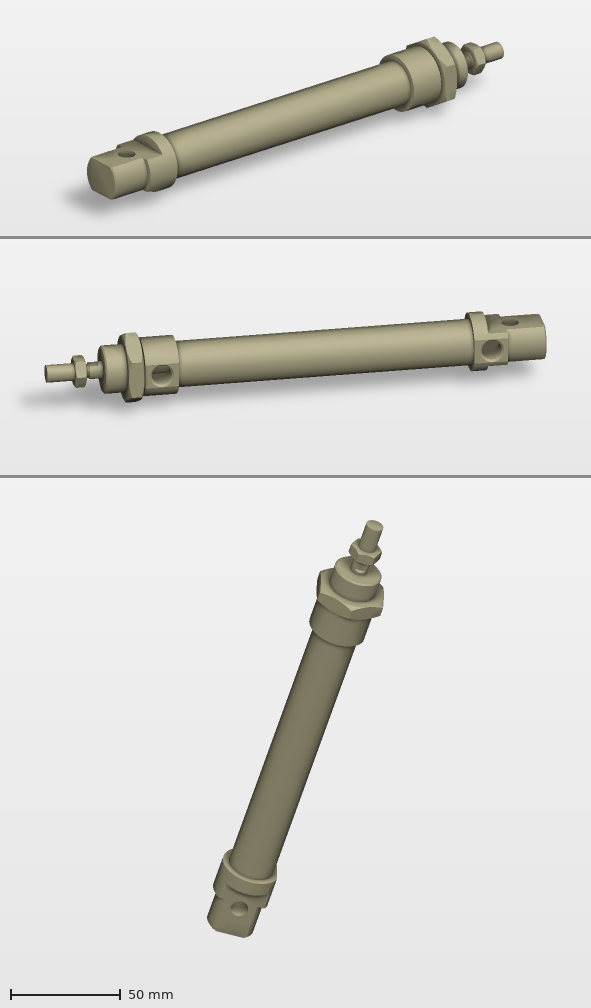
import cadquery as cq
import math

LENGTH = 230.0

COLLAR_DIA = 27.0
TUBE_DIA = 21.2
THREAD_DIA = 22.0
RELIEF_DIA = 21.2
EDGE_CHAMFER = 0.7

REAR_COLLAR_START = 18.2
REAR_COLLAR_END = 33.8
FRONT_COLLAR_START = 170.7
FRONT_COLLAR_END = 186.3
HOUSING_END = 204.2

EYE_THICKNESS = 16.0
EYE_FLAT_LENGTH = 27.1
PIN_HOLE_DIA = 8.0
PIN_HOLE_Y = 15.0

PORT_FLAT_X = 12.2
PORT_DIA = 9.2
PORT_CHAMFER = 1.0
PORT_DEPTH = 9.2
REAR_PORT_Y = 25.5
FRONT_PORT_Y = (FRONT_COLLAR_START + FRONT_COLLAR_END) / 2

ROD_DIA = 8.0
ROD_START = FRONT_COLLAR_START
WRENCH_FLAT_START = 206.5
WRENCH_FLAT_END = 210.5
WRENCH_FLAT_SPAN = 6.2
NECK_DIA = 6.5
NECK_END = 211.4
ROD_CHAMFER = 0.7

MOUNT_NUT_START = 187.2
MOUNT_NUT_WIDTH = 7.1
MOUNT_NUT_FLATS = 30.0
ROD_NUT_START = 212.3
ROD_NUT_WIDTH = 5.0
ROD_NUT_FLATS = 12.9
NUT_CHAMFER_ANGLE = 30.0


def rod_shape(diameter, start, end):
    """Cylinder on the Y axis between two stations."""
    plane = cq.Plane(origin=(0, start, 0), xDir=(1, 0, 0), normal=(0, 1, 0))
    return cq.Workplane(plane).circle(diameter / 2).extrude(end - start)


def housing_blank():
    """Tube, collars, eye and mounting thread as turned before milling and drilling."""
    eye = rod_shape(THREAD_DIA, 0, REAR_COLLAR_START).faces("<Y").chamfer(EDGE_CHAMFER)
    rear_collar = rod_shape(COLLAR_DIA, REAR_COLLAR_START, REAR_COLLAR_END)
    tube = rod_shape(TUBE_DIA, REAR_COLLAR_END, FRONT_COLLAR_START)
    front_collar = rod_shape(COLLAR_DIA, FRONT_COLLAR_START, FRONT_COLLAR_END)
    relief = rod_shape(RELIEF_DIA, FRONT_COLLAR_END, MOUNT_NUT_START)
    thread = rod_shape(THREAD_DIA, MOUNT_NUT_START, HOUSING_END).faces(">Y").chamfer(EDGE_CHAMFER)
    return eye.union(rear_collar).union(tube).union(front_collar).union(relief).union(thread)


def eye_flat_cutter():
    """Block above the eye; its mirror image lies below, leaving a flat tongue."""
    offset = (EYE_THICKNESS + COLLAR_DIA) / 2
    block = cq.Workplane("XY").box(2 * COLLAR_DIA, EYE_FLAT_LENGTH, COLLAR_DIA)
    return block.translate((0, EYE_FLAT_LENGTH / 2, offset))


def cut_port(body, collar_start, collar_end, port_y):
    """Mill the -X flat across a collar and drill its countersunk blind air port."""
    collar_length = collar_end - collar_start
    flat = cq.Workplane("XY").box(COLLAR_DIA, collar_length, COLLAR_DIA).translate(
        (-PORT_FLAT_X - COLLAR_DIA / 2, (collar_start + collar_end) / 2, 0)
    )
    port_plane = cq.Plane(origin=(-PORT_FLAT_X, port_y, 0), xDir=(0, 1, 0), normal=(1, 0, 0))
    port = cq.Workplane(port_plane).circle(PORT_DIA / 2).extrude(PORT_DEPTH)
    mouth_radius = PORT_DIA / 2 + PORT_CHAMFER
    countersink = cq.Workplane(port_plane).circle(mouth_radius).extrude(PORT_CHAMFER, taper=45)
    return body.cut(flat).cut(port).cut(countersink)


def make_housing():
    flat_cutter = eye_flat_cutter()
    body = housing_blank().cut(flat_cutter).cut(flat_cutter.mirror("XY"))
    pin_hole = (
        cq.Workplane("XY")
        .center(0, PIN_HOLE_Y)
        .circle(PIN_HOLE_DIA / 2)
        .extrude(EYE_THICKNESS, both=True)
    )
    body = body.cut(pin_hole)
    body = cut_port(body, REAR_COLLAR_START, REAR_COLLAR_END, REAR_PORT_Y)
    body = cut_port(body, FRONT_COLLAR_START, FRONT_COLLAR_END, FRONT_PORT_Y)
    return body.cut(rod_shape(ROD_DIA, ROD_START, HOUSING_END))


def make_piston_rod():
    """Rod with two wrench flats that run out at 45 degrees, a relief neck and a threaded end."""
    shank = rod_shape(ROD_DIA, ROD_START, WRENCH_FLAT_END)
    flat_z = WRENCH_FLAT_SPAN / 2
    clear_z = ROD_DIA
    cutter = (
        cq.Workplane("YZ")
        .moveTo(WRENCH_FLAT_END, flat_z)
        .lineTo(WRENCH_FLAT_START, flat_z)
        .lineTo(WRENCH_FLAT_START - (clear_z - flat_z), clear_z)
        .lineTo(WRENCH_FLAT_END, clear_z)
        .close()
        .extrude(ROD_DIA, both=True)
    )
    shank = shank.cut(cutter).cut(cutter.mirror("XY"))
    neck = rod_shape(NECK_DIA, WRENCH_FLAT_END, NECK_END)
    thread = rod_shape(ROD_DIA, NECK_END, LENGTH).faces("<Y").chamfer(ROD_CHAMFER)
    return shank.union(neck).union(thread)


def make_nut(across_flats, start, width, bore_dia, turn):
    """Hexagon nut with conical chamfers on both faces; turn = 0 puts corners on X."""
    across_corners = across_flats / math.cos(math.radians(30))
    plane = cq.Plane(origin=(0, start, 0), xDir=(1, 0, 0), normal=(0, 1, 0))
    hexagon = cq.Workplane(plane).polygon(6, across_corners).extrude(width)
    hexagon = hexagon.rotate((0, 0, 0), (0, 1, 0), turn)
    corner_rise = (across_corners - across_flats) / 2
    chamfer_depth = corner_rise * math.tan(math.radians(NUT_CHAMFER_ANGLE))
    envelope = (
        rod_shape(across_corners, start, start + width)
        .faces("<Y or >Y")
        .chamfer(chamfer_depth, corner_rise)
    )
    return hexagon.intersect(envelope).cut(rod_shape(bore_dia, start, start + width))


housing = make_housing()
piston_rod = make_piston_rod()
mounting_nut = make_nut(MOUNT_NUT_FLATS, MOUNT_NUT_START, MOUNT_NUT_WIDTH, THREAD_DIA, 30)
rod_nut = make_nut(ROD_NUT_FLATS, ROD_NUT_START, ROD_NUT_WIDTH, ROD_DIA, 0)

result = cq.Compound.makeCompound(
    [housing.val(), piston_rod.val(), mounting_nut.val(), rod_nut.val()]
)